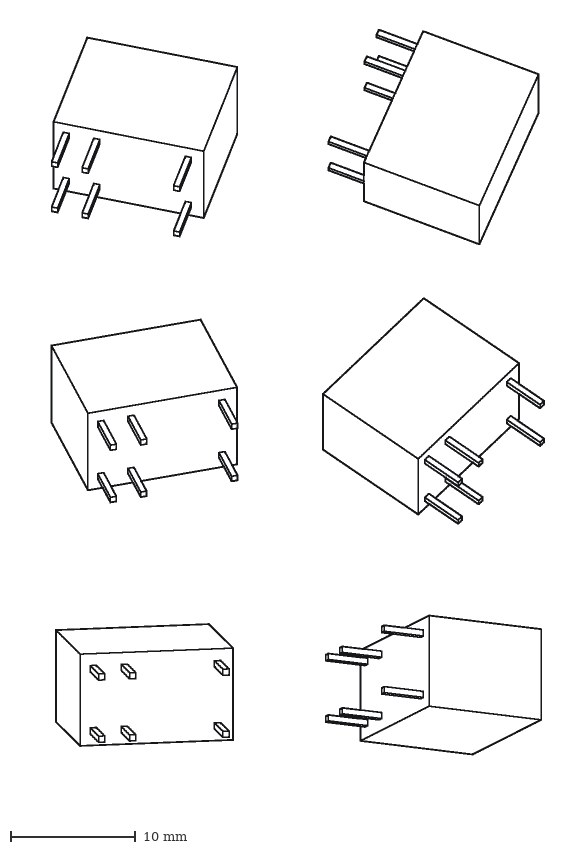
import cadquery as cq

body_width = 12.5
total_depth = 13.5
body_height = 7.5
pin_length = 3.5
body_depth = total_depth - pin_length

pin_side = 0.5
pin_pitch = 2.54
row_spacing = 2 * pin_pitch
first_pin_x = 1.07
pin_grid_steps = (0, 1, 4)

body = cq.Workplane("XY").box(
    body_width, body_depth, body_height, centered=(False, False, True)
)

pin_centers = [
    (first_pin_x + step * pin_pitch, row * row_spacing / 2)
    for step in pin_grid_steps
    for row in (-1, 1)
]
pins = (
    cq.Workplane("XZ")
    .pushPoints(pin_centers)
    .rect(pin_side, pin_side)
    .extrude(pin_length)
)

result = body.union(pins)